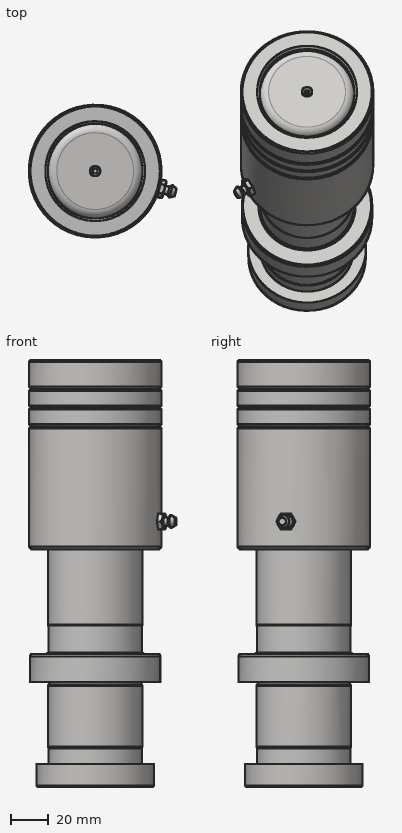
import cadquery as cq
import math

TOTAL_HEIGHT = 225.0
FIT_RADIUS = 25.0

FOOT_RADIUS = 31.0
FOOT_FLANGE_TOP = 12.2
FOOT_NECK_RADIUS = 24.8
FOOT_TOP = 20.7
FOOT_NECK_CHAMFER = 0.5
FOOT_CHAMFER = 1.0

PIN_END_CHAMFER = 0.7
COLLAR_RADIUS = 34.5
COLLAR_BOTTOM = 55.4
COLLAR_TOP = 70.2
COLLAR_CHAMFER_WIDTH = 0.7
COLLAR_CHAMFER_HEIGHT = 1.4
UNDERCUT_RADIUS = 24.3
UNDERCUT_HEIGHT = 1.4
UNDERCUT_TAPER_HEIGHT = 0.7
RELIEF_RADIUS = 24.8
RELIEF_TOP = 85.0
RELIEF_TAPER_HEIGHT = 0.7
ROOT_CONE_WIDTH = 1.0
ROOT_CONE_HEIGHT = 0.7
PIN_TOP_ROUND = 4.7
CENTRE_MOUTH_RADIUS = 2.7
CENTRE_DRILL_RADIUS = 1.4
CENTRE_DEPTH = 4.5

BUSHING_RADIUS = 34.99
BUSHING_BOTTOM = 125.0
BUSHING_TOP_CHAMFER = 1.0
BUSHING_BOTTOM_CHAMFER = 1.5
BORE_CHAMFER = 1.4
GROOVE_COUNT = 3
LOWEST_GROOVE_Z = 190.1
GROOVE_SPACING = 10.0
GROOVE_DEPTH = 1.4
GROOVE_WIDTH = 2.2

NIPPLE_ANGLE = -15.0
NIPPLE_Z = 140.0
SHANK_RADIUS = 3.0
SHANK_START = 29.2
HEX_FLATS = 8.3
HEX_END = 37.8
HEX_CHAMFER = 0.7
NIPPLE_NECK_RADIUS = 2.2
NIPPLE_NECK_END = 40.0
HEAD_RADIUS = 3.4
HEAD_WIDEST = 41.5
HEAD_TIP_RADIUS = 2.0
NIPPLE_END = 43.9


def turned(points):
    """Revolve a closed (radius, height) outline about the Z axis."""
    return cq.Workplane("XZ").polyline(points).close().revolve(360, (0, 0, 0), (0, 1, 0))


def v_groove_cutter(z):
    """Triangular ring that cuts one V groove into the bushing at height z."""
    return turned([
        (BUSHING_RADIUS, z - GROOVE_WIDTH / 2),
        (BUSHING_RADIUS, z + GROOVE_WIDTH / 2),
        (BUSHING_RADIUS - GROOVE_DEPTH, z),
    ])


def along_nipple(body):
    """Move a body built along +Z from the origin onto the nipple axis."""
    return (
        body.rotate((0, 0, 0), (0, 1, 0), 90)
        .rotate((0, 0, 0), (0, 0, 1), NIPPLE_ANGLE)
        .translate((0, 0, NIPPLE_Z))
    )


def make_foot():
    return turned([
        (0, 0),
        (FOOT_RADIUS - FOOT_CHAMFER, 0),
        (FOOT_RADIUS, FOOT_CHAMFER),
        (FOOT_RADIUS, FOOT_FLANGE_TOP),
        (FOOT_NECK_RADIUS, FOOT_FLANGE_TOP),
        (FOOT_NECK_RADIUS, FOOT_TOP - FOOT_NECK_CHAMFER),
        (FOOT_NECK_RADIUS - FOOT_NECK_CHAMFER, FOOT_TOP),
        (0, FOOT_TOP),
    ])


def make_pin():
    pin = turned([
        (0, FOOT_TOP),
        (FIT_RADIUS - PIN_END_CHAMFER, FOOT_TOP),
        (FIT_RADIUS, FOOT_TOP + PIN_END_CHAMFER),
        (FIT_RADIUS, COLLAR_BOTTOM - UNDERCUT_HEIGHT - UNDERCUT_TAPER_HEIGHT),
        (UNDERCUT_RADIUS, COLLAR_BOTTOM - UNDERCUT_HEIGHT),
        (UNDERCUT_RADIUS, COLLAR_BOTTOM),
        (COLLAR_RADIUS, COLLAR_BOTTOM),
        (COLLAR_RADIUS, COLLAR_TOP - COLLAR_CHAMFER_HEIGHT),
        (COLLAR_RADIUS - COLLAR_CHAMFER_WIDTH, COLLAR_TOP),
        (RELIEF_RADIUS + ROOT_CONE_WIDTH, COLLAR_TOP),
        (RELIEF_RADIUS, COLLAR_TOP + ROOT_CONE_HEIGHT),
        (RELIEF_RADIUS, RELIEF_TOP),
        (FIT_RADIUS, RELIEF_TOP + RELIEF_TAPER_HEIGHT),
        (FIT_RADIUS, TOTAL_HEIGHT),
        (0, TOTAL_HEIGHT),
    ])
    pin = pin.faces(">Z").edges().fillet(PIN_TOP_ROUND)
    countersink_depth = CENTRE_MOUTH_RADIUS - CENTRE_DRILL_RADIUS
    centre_hole = turned([
        (0, TOTAL_HEIGHT),
        (CENTRE_MOUTH_RADIUS, TOTAL_HEIGHT),
        (CENTRE_DRILL_RADIUS, TOTAL_HEIGHT - countersink_depth),
        (CENTRE_DRILL_RADIUS, TOTAL_HEIGHT - CENTRE_DEPTH),
        (0, TOTAL_HEIGHT - CENTRE_DEPTH),
    ])
    return pin.cut(centre_hole)


def make_bushing():
    bushing = turned([
        (FIT_RADIUS, BUSHING_BOTTOM),
        (BUSHING_RADIUS - BUSHING_BOTTOM_CHAMFER, BUSHING_BOTTOM),
        (BUSHING_RADIUS, BUSHING_BOTTOM + BUSHING_BOTTOM_CHAMFER),
        (BUSHING_RADIUS, TOTAL_HEIGHT - BUSHING_TOP_CHAMFER),
        (BUSHING_RADIUS - BUSHING_TOP_CHAMFER, TOTAL_HEIGHT),
        (FIT_RADIUS + BORE_CHAMFER, TOTAL_HEIGHT),
        (FIT_RADIUS, TOTAL_HEIGHT - BORE_CHAMFER),
    ])
    for index in range(GROOVE_COUNT):
        bushing = bushing.cut(v_groove_cutter(LOWEST_GROOVE_Z + index * GROOVE_SPACING))
    shank_hole = cq.Workplane("XY").workplane(offset=SHANK_START).circle(SHANK_RADIUS)
    return bushing.cut(along_nipple(shank_hole.extrude(BUSHING_RADIUS - SHANK_START)))


def make_nipple():
    hex_corner_radius = HEX_FLATS / 2 / math.cos(math.pi / 6)
    hexagon = (
        cq.Workplane("XY").workplane(offset=BUSHING_RADIUS)
        .transformed(rotate=(0, 0, 90))
        .polygon(6, 2 * hex_corner_radius)
        .extrude(HEX_END - BUSHING_RADIUS)
    )
    corner_envelope = turned([
        (0, BUSHING_RADIUS),
        (hex_corner_radius, BUSHING_RADIUS),
        (hex_corner_radius, HEX_END - HEX_CHAMFER),
        (hex_corner_radius - HEX_CHAMFER, HEX_END),
        (0, HEX_END),
    ])
    stem = turned([
        (0, SHANK_START),
        (SHANK_RADIUS, SHANK_START),
        (SHANK_RADIUS, BUSHING_RADIUS),
        (NIPPLE_NECK_RADIUS, BUSHING_RADIUS),
        (NIPPLE_NECK_RADIUS, NIPPLE_NECK_END),
        (HEAD_RADIUS, HEAD_WIDEST),
        (HEAD_TIP_RADIUS, NIPPLE_END),
        (0, NIPPLE_END),
    ])
    return along_nipple(hexagon.intersect(corner_envelope).union(stem))


foot = make_foot()
pin = make_pin()
bushing = make_bushing()
nipple = make_nipple()

result = cq.Compound.makeCompound([foot.val(), pin.val(), bushing.val(), nipple.val()])